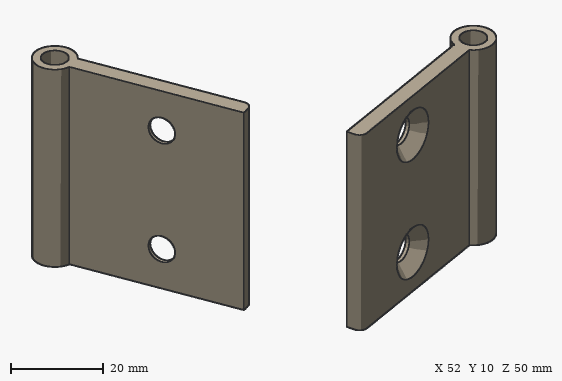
import cadquery as cq
import math

total_length = 52.0
height = 50.0
barrel_diameter = 10.0
bore_diameter = 6.1
leaf_thickness = 4.0
edge_radius = 2.0

hole_diameter = 6.45
hole_spacing = 30.0
hole_from_barrel_axis = 27.0
straight_depth = 1.0
countersink_angle = 90.0

leaf_end = total_length - barrel_diameter / 2


def upright_cylinder(diameter):
    return cq.Workplane("XY").circle(diameter / 2).extrude(height / 2, both=True)


def make_leaf():
    """Flat leaf with its free rear edge rounded."""
    leaf = cq.Workplane("XY").box(leaf_end, leaf_thickness, height).translate((leaf_end / 2, 0, 0))
    return leaf.edges(">X and >Y").fillet(edge_radius)


def make_screw_hole(z):
    """Half profile revolved about Y: straight at the front face, then a cone opening to the rear."""
    front = -leaf_thickness / 2
    rear = leaf_thickness / 2
    cone_start = front + straight_depth
    hole_radius = hole_diameter / 2
    flare = (rear - cone_start) * math.tan(math.radians(countersink_angle / 2))
    return (
        cq.Workplane("XY")
        .moveTo(0, front)
        .lineTo(hole_radius, front)
        .lineTo(hole_radius, cone_start)
        .lineTo(hole_radius + flare, rear)
        .lineTo(0, rear)
        .close()
        .revolve(360, (0, 0, 0), (0, 1, 0))
        .translate((hole_from_barrel_axis, 0, z))
    )


knuckle = upright_cylinder(barrel_diameter)
bore = upright_cylinder(bore_diameter)
result = knuckle.union(make_leaf()).cut(bore)
for hole_z in (-hole_spacing / 2, hole_spacing / 2):
    result = result.cut(make_screw_hole(hole_z))